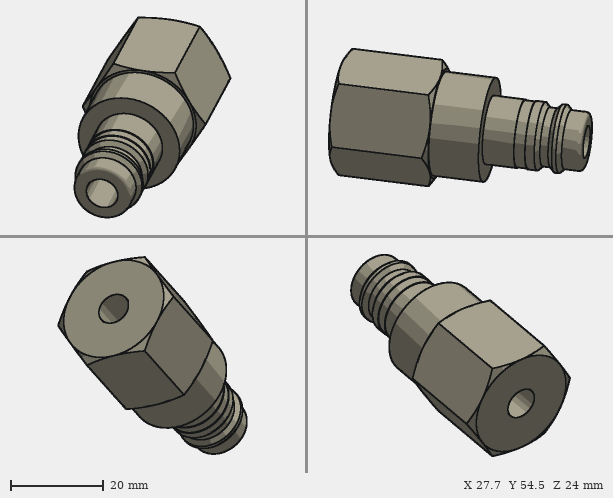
import cadquery as cq
import math

total_length = 54.5
hex_length = 22.0
collar_length = 11.0
shank_length = 7.0
relief_length = 2.45
band_length = 2.05
groove_length = 1.8
ridge_length = 0.9
cone_length = 1.05
tip_edge_radius = 1.0

hex_sides = 6
across_flats = 24.0
collar_radius = 11.4
shank_radius = 7.5
relief_radius = 7.35
neck_radius = 6.5
bore_radius = 3.55
hex_chamfer_angle = 30.0

hex_start = total_length - hex_length
collar_start = hex_start - collar_length
relief_end = collar_start - shank_length
band_end = relief_end - relief_length
band_start = band_end - band_length
groove_end = band_start - cone_length
groove_start = groove_end - groove_length
ridge_end = groove_start - cone_length
ridge_start = ridge_end - ridge_length
tip_end = ridge_start - cone_length


def make_hex():
    """Hexagon with corners on the X axis and both ends chamfered."""
    flat_radius = across_flats / 2
    corner_radius = flat_radius / math.cos(math.pi / hex_sides)
    drop = (corner_radius - flat_radius) * math.tan(math.radians(hex_chamfer_angle))
    prism = (
        cq.Workplane("XZ", origin=(0, total_length, 0))
        .polygon(hex_sides, 2 * corner_radius)
        .extrude(hex_length)
    )
    envelope = (
        cq.Workplane("XY")
        .moveTo(0, hex_start)
        .lineTo(flat_radius, hex_start)
        .lineTo(corner_radius, hex_start + drop)
        .lineTo(corner_radius, total_length - drop)
        .lineTo(flat_radius, total_length)
        .lineTo(0, total_length)
        .close()
        .revolve(360, (0, 0, 0), (0, 1, 0))
    )
    return prism.intersect(envelope)


def make_plug():
    """Turned collar and grooved plug with a rounded tip."""
    arc_offset = tip_edge_radius * (1 - math.sqrt(0.5))
    return (
        cq.Workplane("XY")
        .lineTo(neck_radius - tip_edge_radius, 0)
        .threePointArc(
            (neck_radius - arc_offset, arc_offset),
            (neck_radius, tip_edge_radius),
        )
        .lineTo(neck_radius, tip_end)
        .lineTo(shank_radius, ridge_start)
        .lineTo(shank_radius, ridge_end)
        .lineTo(neck_radius, groove_start)
        .lineTo(neck_radius, groove_end)
        .lineTo(shank_radius, band_start)
        .lineTo(shank_radius, band_end)
        .lineTo(relief_radius, band_end)
        .lineTo(relief_radius, relief_end)
        .lineTo(shank_radius, relief_end)
        .lineTo(shank_radius, collar_start)
        .lineTo(collar_radius, collar_start)
        .lineTo(collar_radius, hex_start)
        .lineTo(0, hex_start)
        .close()
        .revolve(360, (0, 0, 0), (0, 1, 0))
    )


bore = (
    cq.Workplane("XZ", origin=(0, total_length, 0))
    .circle(bore_radius)
    .extrude(total_length)
)

result = make_hex().union(make_plug()).cut(bore)